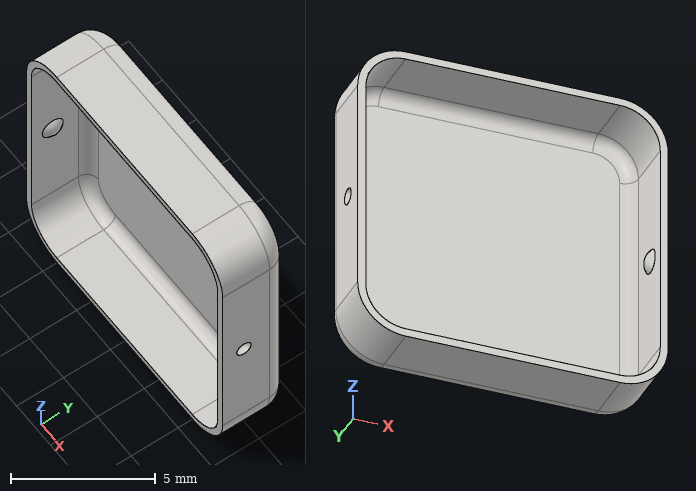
import cadquery as cq

side = 11.6
depth = 2.8
wall = 0.3
floor = 0.3
corner_radius = 1.8
rim_radius = 0.8
inner_rim_radius = rim_radius - wall

snap_from_opening = 0.9
dimple_radius = 0.3
bump_radius = 0.6
bump_center_offset = 0.1


def rounded_block(width, length, vertical_radius, back_radius):
    """Square block from the Y = 0 plane toward +Y, with its back edge rounded."""
    block = cq.Workplane("XZ").rect(width, width).extrude(-length)
    return block.edges("|Y").fillet(vertical_radius).faces(">Y").edges().fillet(back_radius)


def snap_sphere(x, radius):
    """Sphere at the snap position, with its poles along X so that the wall cuts it along a parallel."""
    sphere = cq.Workplane("XY").sphere(radius)
    return sphere.rotate((0, 0, 0), (0, 1, 0), 90).translate((x, snap_from_opening, 0))


outer = rounded_block(side, depth, corner_radius, rim_radius)
cavity = rounded_block(side - 2 * wall, depth - floor, corner_radius - wall, inner_rim_radius)

for direction in (-1, 1):
    wall_x = direction * side / 2
    bump_x = wall_x + direction * bump_center_offset
    cavity = cavity.cut(snap_sphere(bump_x, bump_radius))
    outer = outer.cut(snap_sphere(wall_x, dimple_radius))

result = outer.cut(cavity).translate((0, -depth / 2, 0))